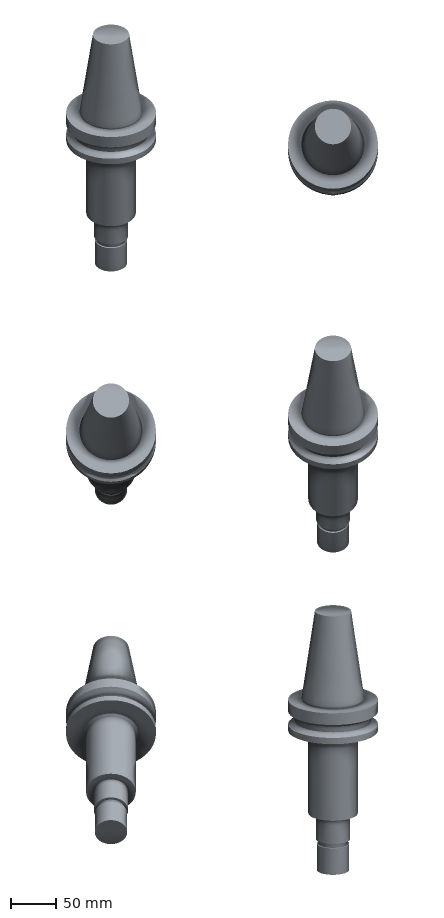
import cadquery as cq

taper_large_dia = 70.0
taper_relief_dia = 68.7
flange_dia = 100.0
flange_groove_dia = 85.0
body_dia = 55.0
nose_dia = 38.2
neck_dia = 32.0
tip_dia = 36.0

tip_top = 31.0
neck_top = 36.3
nose_top = 66.3
flange_bottom = 163.2
lower_rim_top = 170.5
groove_bottom = 174.7
groove_top = 181.5
upper_rim_bottom = 185.5
flange_top = 199.2
gauge_height = 201.0
total_height = 302.8

collar_height = 2.7
collar_dia = body_dia + 2 * collar_height

taper_rate = 7 / 24
taper_small_dia = taper_large_dia - taper_rate * (total_height - gauge_height)


def frustum(lower_dia, upper_dia, bottom, top):
    """Cone or cylinder about Z between two heights."""
    return cq.Workplane(
        cq.Solid.makeCone(
            lower_dia / 2,
            upper_dia / 2,
            top - bottom,
            pnt=cq.Vector(0, 0, bottom),
        )
    )


def cylinder(dia, bottom, top):
    """Cylinder about Z between two heights."""
    return cq.Workplane("XY", origin=(0, 0, bottom)).circle(dia / 2).extrude(top - bottom)


def make_shank():
    """Stepped nose and body below the flange."""
    tip = cylinder(tip_dia, 0, tip_top)
    neck = cylinder(neck_dia, tip_top, neck_top)
    nose = cylinder(nose_dia, neck_top, nose_top)
    body = cylinder(body_dia, nose_top, flange_bottom)
    collar = frustum(body_dia, collar_dia, flange_bottom - collar_height, flange_bottom)
    return tip.union(neck).union(nose).union(body).union(collar)


def make_flange():
    """Gripper flange with a flat-bottomed V groove."""
    lower_rim = cylinder(flange_dia, flange_bottom, lower_rim_top)
    lower_flank = frustum(flange_dia, flange_groove_dia, lower_rim_top, groove_bottom)
    groove_floor = cylinder(flange_groove_dia, groove_bottom, groove_top)
    upper_flank = frustum(flange_groove_dia, flange_dia, groove_top, upper_rim_bottom)
    upper_rim = cylinder(flange_dia, upper_rim_bottom, flange_top)
    return lower_rim.union(lower_flank).union(groove_floor).union(upper_flank).union(upper_rim)


def make_taper():
    """Spindle taper standing on a slightly narrower relief."""
    relief = cylinder(taper_relief_dia, flange_top, gauge_height)
    cone = frustum(taper_large_dia, taper_small_dia, gauge_height, total_height)
    return relief.union(cone)


result = make_shank().union(make_flange()).union(make_taper())